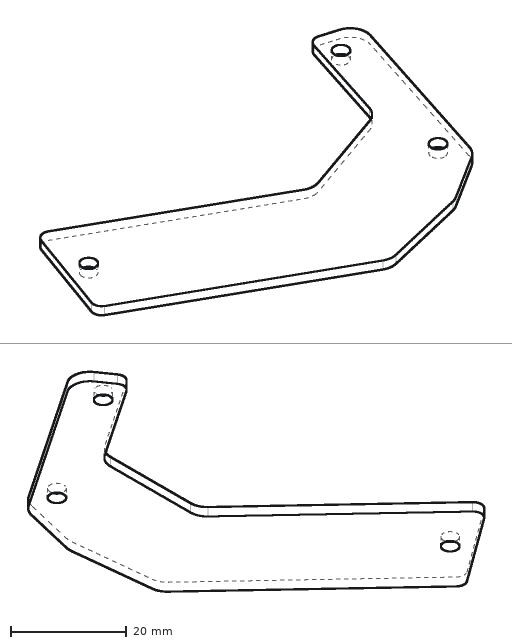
import cadquery as cq

height = 79.3
thickness = 2.0
arm_width = 10.1
hole_diameter = 3.25

large_radius = 4
small_radius = 2.0

corners = [
    (0, height, large_radius),
    (42.4, height, large_radius),
    (53.2, 69.9, large_radius),
    (63.4, 52.0, large_radius),
    (51.9, -0.055, small_radius),
    (27.9, 0.8, small_radius),
    (38.8, 49.8, large_radius),
    (24.7, height - arm_width, large_radius),
    (0, height - arm_width, small_radius),
]

hole_centers = [(5.5, 72.7), (37.4, 74.9), (39.95, 4.9)]


def round_corner(plate, x, y, radius):
    """Fillet the vertical edge that stands at (x, y)."""
    edge = cq.selectors.NearestToPointSelector((x, y, thickness / 2))
    return plate.edges("|Z").edges(edge).fillet(radius)


outline = [(x, y) for x, y, radius in corners]
plate = cq.Workplane("XY").polyline(outline).close().extrude(thickness)

for x, y, radius in corners:
    plate = round_corner(plate, x, y, radius)

holes = cq.Workplane("XY").pushPoints(hole_centers).circle(hole_diameter / 2).extrude(thickness)

result = plate.cut(holes)